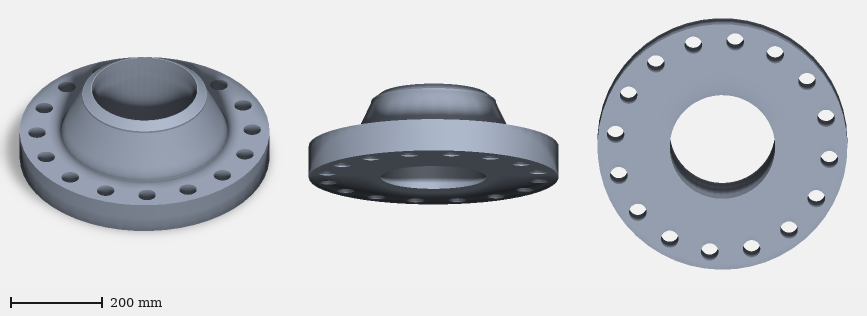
import cadquery as cq
import math

flange_diameter = 546.0
flange_thickness = 70.0
overall_height = 184.0

bore_diameter = 230.5
hub_base_diameter = 368.0
hub_fillet = 3.5
neck_diameter = 273.0
neck_band_height = 4.5
shoulder_width = 3.0
shoulder_drop = 1.5
bevel_angle = 37.5
land_width = 2.0

bolt_count = 16
bolt_circle_diameter = 470.0
bolt_hole_diameter = 38.0

selection_margin = 0.5


def make_body():
    """Revolved flange plate with a tapered, bevelled welding neck."""
    bore_radius = bore_diameter / 2
    flange_radius = flange_diameter / 2
    neck_radius = neck_diameter / 2
    land_radius = bore_radius + land_width
    bevel_radius = neck_radius - shoulder_width
    bevel_drop = (bevel_radius - land_radius) * math.tan(math.radians(bevel_angle))
    bevel_bottom = overall_height - bevel_drop
    band_top = bevel_bottom - shoulder_drop
    band_bottom = band_top - neck_band_height
    profile = (
        cq.Workplane("XZ")
        .moveTo(bore_radius, 0)
        .lineTo(flange_radius, 0)
        .lineTo(flange_radius, flange_thickness)
        .lineTo(hub_base_diameter / 2, flange_thickness)
        .lineTo(neck_radius, band_bottom)
        .lineTo(neck_radius, band_top)
        .lineTo(bevel_radius, bevel_bottom)
        .lineTo(land_radius, overall_height)
        .lineTo(bore_radius, overall_height)
        .close()
    )
    return profile.revolve(360, (0, 0, 0), (0, 1, 0))


def fillet_hub_base(body):
    """Round the inside corner where the hub cone meets the flange plate."""
    reach = hub_base_diameter / 2 + selection_margin
    corner = cq.selectors.BoxSelector(
        (-reach, -reach, flange_thickness - selection_margin),
        (reach, reach, flange_thickness + selection_margin),
        boundingbox=True,
    )
    return body.edges(corner).fillet(hub_fillet)


def make_bolt_holes():
    """Cutters for the bolt holes, the first one on the +X axis."""
    return (
        cq.Workplane("XY")
        .polarArray(bolt_circle_diameter / 2, 0, 360, bolt_count)
        .circle(bolt_hole_diameter / 2)
        .extrude(flange_thickness)
    )


result = fillet_hub_base(make_body()).cut(make_bolt_holes())